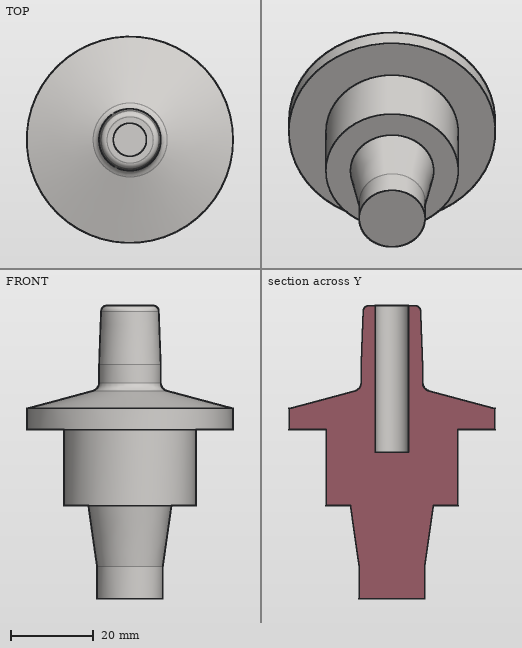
import cadquery as cq

height = 71.0
bore_diameter = 8.0
bore_depth = 35.5

spigot_radius = 16.0 / 2
spigot_top_z = 7.9
lower_cone_radius = 10.1

collar_radius = 32.0 / 2
collar_bottom_z = 22.6

flange_radius = 50.0 / 2
flange_bottom_z = 41.0
flange_edge_z = 46.1

nozzle_radius = 15.0 / 2
nozzle_tip_radius = 6.95
nozzle_taper_z = 56.8
cone_root_z = 50.8
root_fillet = 2.0
tip_fillet = 1.4


def revolved_body():
    """Solid of revolution about Z, before rounding and boring."""
    return (
        cq.Workplane("XZ")
        .moveTo(0, 0)
        .lineTo(spigot_radius, 0)
        .lineTo(spigot_radius, spigot_top_z)
        .lineTo(lower_cone_radius, collar_bottom_z)
        .lineTo(collar_radius, collar_bottom_z)
        .lineTo(collar_radius, flange_bottom_z)
        .lineTo(flange_radius, flange_bottom_z)
        .lineTo(flange_radius, flange_edge_z)
        .lineTo(nozzle_radius, cone_root_z)
        .lineTo(nozzle_radius, nozzle_taper_z)
        .lineTo(nozzle_tip_radius, height)
        .lineTo(0, height)
        .close()
        .revolve(360, (0, 0, 0), (0, 1, 0))
    )


def circle_edge_at(radius, z):
    """Selector for the circular edge of the given radius and height."""
    margin = 0.1
    reach = radius + margin
    return cq.selectors.BoxSelector(
        (-reach, -reach, z - margin), (reach, reach, z + margin), boundingbox=True
    )


body = revolved_body()
body = body.edges(circle_edge_at(nozzle_radius, cone_root_z)).fillet(root_fillet)
body = body.faces(">Z").edges().fillet(tip_fillet)

result = body.faces(">Z").workplane().hole(bore_diameter, bore_depth)